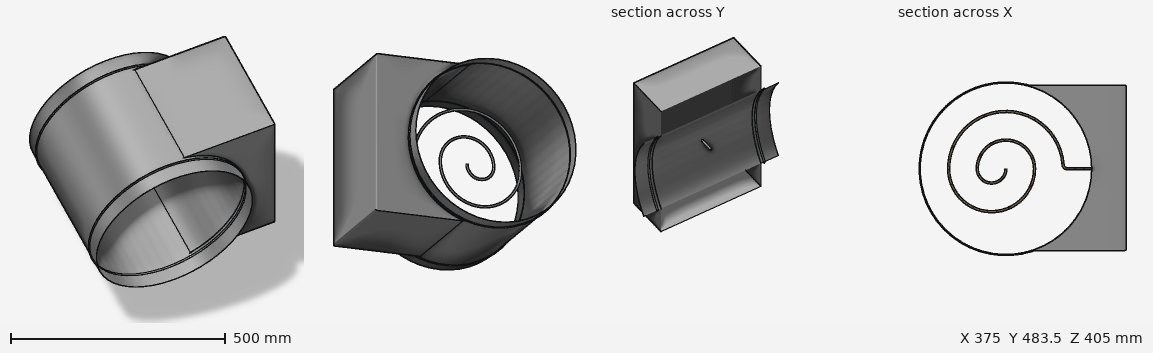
import cadquery as cq
import math

duct_length = 375.0
duct_radius = 200.0
sheet = 1.0
seat_radius = duct_radius - sheet / 2
bead_radius = 2.5
bead_offset = 149.0

housing_width = 279.5
housing_back = 281.0
housing_top = 195.5
housing_bottom = -191.0
bend_radius = 5.0

wire_radius = 3.0
wire_x = 0
half_turns = 4
spiral_step = duct_radius / 6
elbow_radius = 10.0


def x_cylinder(radius, length):
    return cq.Workplane("YZ", origin=(-length / 2, 0, 0)).circle(radius).extrude(length)


def bead(x):
    """Half-round ring standing on the outside of the duct."""
    ring = cq.Solid.makeTorus(duct_radius, bead_radius, cq.Vector(x, 0, 0), cq.Vector(1, 0, 0))
    return cq.Workplane(obj=ring).cut(x_cylinder(seat_radius, duct_length))


def housing_block(inset, back_fillet):
    """Block from the duct axis plane to the housing back, shrunk by inset."""
    bottom = housing_bottom + inset
    block = cq.Workplane("XY").box(
        housing_width - 2 * inset,
        housing_back - inset,
        housing_top - inset - bottom,
        centered=(True, False, False),
    ).translate((0, 0, bottom))
    return block.faces(">Y").edges().fillet(back_fillet)


def housing():
    """Hollow box closed off on its front by the duct wall."""
    shell = housing_block(0, bend_radius).cut(housing_block(sheet, bend_radius - sheet))
    return shell.cut(x_cylinder(seat_radius, duct_length))


def spiral_wire():
    """Half circles of growing radius, then an elbow and a straight run to the duct wall."""
    last_radius = half_turns * spiral_step
    elbow_y = math.sqrt((last_radius + elbow_radius) ** 2 - elbow_radius**2)
    shrink = last_radius / (last_radius + elbow_radius)
    elbow_start = (elbow_y * shrink, elbow_radius * shrink)
    start_angle = math.atan2(elbow_start[1] - elbow_radius, elbow_start[0] - elbow_y)
    mid_angle = (start_angle % (2 * math.pi) + 1.5 * math.pi) / 2
    elbow_mid = (
        elbow_y + elbow_radius * math.cos(mid_angle),
        elbow_radius + elbow_radius * math.sin(mid_angle),
    )

    path = cq.Workplane("YZ", origin=(wire_x, 0, 0)).moveTo(0, 0)
    for turn in range(1, half_turns):
        radius = turn * spiral_step
        if turn % 2:
            middle = (-spiral_step, -radius)
            end = (-spiral_step - radius, 0)
        else:
            middle = (0, radius)
            end = (radius, 0)
        path = path.threePointArc(middle, end)
    path = (
        path.threePointArc((0, last_radius), elbow_start)
        .threePointArc(elbow_mid, (elbow_y, 0))
        .lineTo(seat_radius, 0)
    )
    profile = cq.Workplane("XY", origin=(wire_x, 0, 0)).circle(wire_radius)
    return profile.sweep(path)


duct = x_cylinder(duct_radius, duct_length).cut(x_cylinder(duct_radius - sheet, duct_length))
result = duct.union(housing())
for side in (-1, 1):
    result = result.union(bead(side * bead_offset))
result = result.union(spiral_wire())